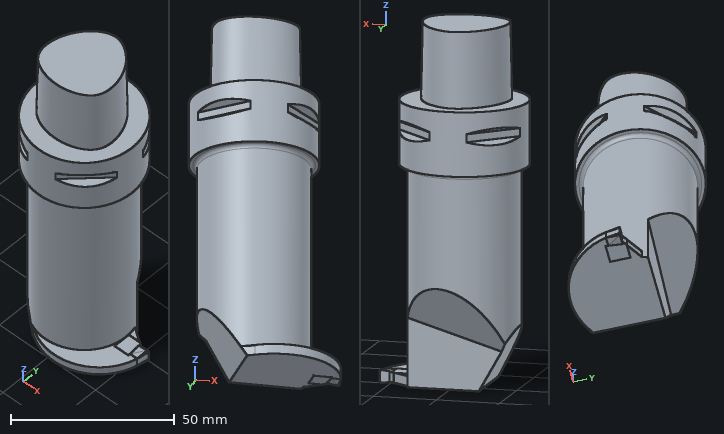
import cadquery as cq
import math

total_height = 114.0
collar_bottom = 70.0
collar_top = 90.2
blade_bottom = 0.5
blade_top = 3.6

collar_diameter = 40.0
bar_diameter = 35.0
bar_radius = bar_diameter / 2
neck_fillet = 1.3
shank_base_radius = 13.96
shank_taper = 0.02
shank_lobe = 0.85
lobe_points = 48

groove_count = 4
groove_first_angle = 45.0
groove_floor_distance = 17.7
groove_height = 82.1
groove_floor_width = 2.5
groove_mouth_width = 5.2

slope_top = 20.3
slope_foot_x = -6.3
flat_y = 6.4
rear_slope_base = 8.1
rear_slope_x = 0.3
rear_slope_y = 1.45

blade_center_x = 6.3
blade_radius = 20.46
blade_heel = (-7.9, -15.6)
blade_heel_arc_y = -17.7
blade_nose = (23.8, 0.0)
blade_edge_start = (14.2, flat_y)

seat_back_y = -5.2
seat_front_y = 1.1
seat_front_x = 22.2
tip_left_x = 22.8
tip_rear_left = (23.3, -4.5)
tip_rear_right_x = 26.2
tip_apex_x = 26.5
tip_corner_x = 47.0 - collar_diameter / 2
tip_rise = blade_bottom
tip_corner_drop = 0.3

cut_margin = 5.7


def lobed_section(radius, height):
    """Closed three-lobed curve of constant width with one lobe on +Y."""
    points = []
    for index in range(lobe_points):
        angle = 2 * math.pi * index / lobe_points
        support = radius - shank_lobe * math.sin(3 * angle)
        slope = -3 * shank_lobe * math.cos(3 * angle)
        x = support * math.cos(angle) - slope * math.sin(angle)
        y = support * math.sin(angle) + slope * math.cos(angle)
        points.append(cq.Vector(x, y, height))
    return cq.Wire.assembleEdges([cq.Edge.makeSpline(points, periodic=True)])


def make_shank():
    top_radius = shank_base_radius - shank_taper * (total_height - collar_top)
    sections = [
        lobed_section(shank_base_radius, collar_top),
        lobed_section(top_radius, total_height),
    ]
    return cq.Workplane(cq.Solid.makeLoft(sections, True))


def make_collar_and_bar():
    """Revolved bar with a filleted neck under the collar."""
    collar_radius = collar_diameter / 2
    fillet_center_x = bar_radius + neck_fillet
    fillet_center_z = collar_bottom - neck_fillet
    diagonal = neck_fillet * math.sqrt(0.5)
    return (
        cq.Workplane("XZ")
        .moveTo(0, blade_bottom)
        .lineTo(bar_radius, blade_bottom)
        .lineTo(bar_radius, fillet_center_z)
        .threePointArc(
            (fillet_center_x - diagonal, fillet_center_z + diagonal),
            (fillet_center_x, collar_bottom),
        )
        .lineTo(collar_radius, collar_bottom)
        .lineTo(collar_radius, collar_top)
        .lineTo(0, collar_top)
        .close()
        .revolve(360, (0, 0, 0), (0, 1, 0))
    )


def make_gripper_groove(angle):
    """Trapezoidal groove tangent to the collar, opening outwards."""
    depth = collar_diameter / 2 - groove_floor_distance
    flare = (groove_mouth_width - groove_floor_width) / 2 / depth
    reach = depth + cut_margin
    floor_half = groove_floor_width / 2
    outer_half = floor_half + flare * reach
    outer_x = groove_floor_distance + reach
    groove = (
        cq.Workplane("XZ")
        .polyline([
            (groove_floor_distance, groove_height - floor_half),
            (outer_x, groove_height - outer_half),
            (outer_x, groove_height + outer_half),
            (groove_floor_distance, groove_height + floor_half),
        ])
        .close()
        .extrude(collar_diameter / 2, both=True)
    )
    return groove.rotate((0, 0, 0), (0, 0, 1), angle)


def make_blade():
    arc_offset = math.sqrt(blade_radius**2 - blade_heel_arc_y**2)
    arc_start = (blade_center_x - arc_offset, blade_heel_arc_y)
    arc_middle = (blade_center_x, -blade_radius)
    tip_rear_y = tip_rear_left[1]
    arc_end = (blade_center_x + math.sqrt(blade_radius**2 - tip_rear_y**2), tip_rear_y)
    return (
        cq.Workplane("XY")
        .workplane(offset=blade_bottom)
        .moveTo(0, 0)
        .lineTo(*blade_heel)
        .lineTo(*arc_start)
        .threePointArc(arc_middle, arc_end)
        .lineTo(*tip_rear_left)
        .lineTo(tip_left_x, 0)
        .lineTo(*blade_nose)
        .lineTo(*blade_edge_start)
        .lineTo(0, flat_y)
        .close()
        .extrude(blade_top - blade_bottom)
    )


def make_front_relief():
    """Wedge outside the slope on the -X side."""
    run = slope_foot_x + bar_radius
    steepness = (slope_top - blade_bottom) / run
    low_z = blade_bottom - cut_margin
    low_x = slope_foot_x + cut_margin / steepness
    outer_x = -bar_radius - cut_margin
    outer_z = slope_top + cut_margin * steepness
    return (
        cq.Workplane("XZ")
        .polyline([(low_x, low_z), (outer_x, outer_z), (outer_x, low_z)])
        .close()
        .extrude(collar_diameter, both=True)
    )


def make_rear_relief():
    """Space beyond the +Y flat and below the tilted rear slope."""
    reach = bar_radius + cut_margin
    low_z = blade_bottom - cut_margin

    def section(x):
        def slope_z(y):
            return rear_slope_base + rear_slope_x * x + rear_slope_y * y
        corners = [
            (x, flat_y, low_z),
            (x, reach, low_z),
            (x, reach, slope_z(reach)),
            (x, flat_y, slope_z(flat_y)),
        ]
        return cq.Wire.makePolygon([cq.Vector(*c) for c in corners], close=True)

    return cq.Workplane(cq.Solid.makeLoft([section(-reach), section(reach)], True))


def make_seat():
    """Flush plate between the bar and the cutting tip."""
    return (
        cq.Workplane("XY")
        .workplane(offset=blade_bottom)
        .polyline([
            (bar_radius, seat_back_y),
            (tip_rear_left[0], seat_back_y),
            tip_rear_left,
            (tip_left_x, 0),
            blade_nose,
            (seat_front_x, seat_front_y),
            (bar_radius, seat_front_y),
        ])
        .close()
        .extrude(blade_top - blade_bottom)
    )


def make_tip():
    """Faceted cutting tip, highest and lowest at its front apexes."""
    def level(face_z, outward):
        apex_z = face_z + outward * tip_rise
        return {
            "left": (tip_left_x, 0, face_z),
            "rear_left": (*tip_rear_left, face_z),
            "rear_right": (tip_rear_right_x, tip_rear_left[1], face_z),
            "corner": (tip_corner_x, 0, apex_z - outward * tip_corner_drop),
            "apex": (tip_apex_x, 0, apex_z),
        }

    low = level(blade_bottom, -1)
    high = level(blade_top, 1)
    outlines = []
    for end in (low, high):
        outlines.append([end["left"], end["rear_left"], end["apex"]])
        outlines.append([end["rear_left"], end["rear_right"], end["apex"]])
        outlines.append([end["rear_right"], end["corner"], end["apex"]])
    sides = (("left", "rear_left"), ("rear_left", "rear_right"), ("rear_right", "corner"))
    for first, second in sides:
        outlines.append([low[first], low[second], high[second], high[first]])
    outlines.append([
        low["left"], low["apex"], low["corner"], high["corner"], high["apex"], high["left"],
    ])
    faces = []
    for outline in outlines:
        wire = cq.Wire.makePolygon([cq.Vector(*p) for p in outline], close=True)
        faces.append(cq.Face.makeFromWires(wire))
    return cq.Workplane(cq.Solid.makeSolid(cq.Shell.makeShell(faces)))


def make_holder(seat):
    holder = make_collar_and_bar().union(make_shank()).union(make_blade())
    for index in range(groove_count):
        angle = groove_first_angle + index * 360 / groove_count
        holder = holder.cut(make_gripper_groove(angle))
    return holder.cut(make_front_relief()).cut(make_rear_relief()).cut(seat)


seat = make_seat()
tip = make_tip()
holder = make_holder(seat)

result = cq.Compound.makeCompound([holder.solids().val(), seat.val(), tip.val()])